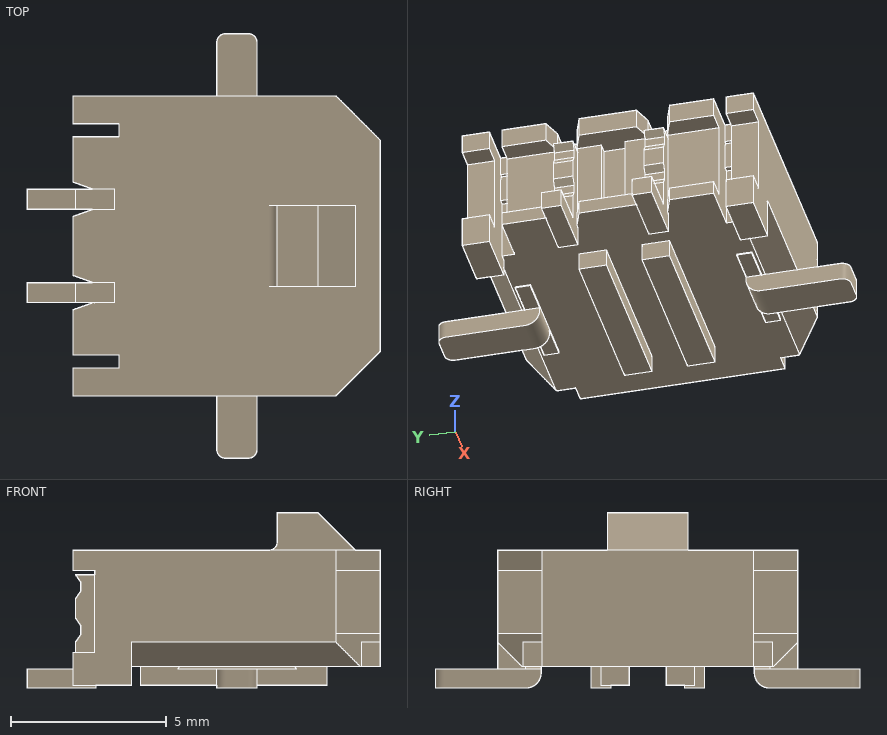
import cadquery as cq

roof_top = 4.44
roof_bottom = 3.78
floor_top = 1.15
floor_bottom = 0.69
foot_bottom = 0.09

body_length = 9.88
body_half_width = 4.825
corner_chamfer = 1.43
wall_face_x = 0.70
foot_length = 1.89

side_slope = 0.79

front_notch_top = roof_bottom
front_notch_bottom = 1.765
lower_notch_x = 9.27

latch_height = 1.20
latch_start_x = 6.56
latch_flat = 1.32
latch_width = 2.60
latch_fillet = 0.25

terminal_pitch = 3.0
terminal_width = 0.65
terminal_tip_x = -1.47
terminal_front_x = 0.08
terminal_back_x = 0.745
terminal_top = 3.65
terminal_thickness = 0.62
barb_depth = 0.17
barb_slope = 0.245
barb_flat = 0.285
barb_pitch = 1.395
barb_count = 2

channel_length = 1.33
channel_mouth_depth = 0.63
channel_mouth_width = 1.10

groove_width = 0.78
groove_depth = 0.36

slot_inner_y = 3.51
slot_outer_y = 3.92
slot_end_x = 1.48
nail_edge_radius = 0.40
nail_edge_centre_z = 3.49
nail_step_z = 2.75
nail_step_depth = 0.20

nail_inner_y = 3.42
nail_outer_y = 6.825
nail_start_x = 4.62
nail_width = 1.30
nail_thickness = 0.62
nail_bend_radius = 0.50
nail_corner_radius = 0.29
nail_root_start_x = 3.42
nail_root_end_x = 7.13
nail_root_flare = 0.05

rail_start_x = 2.17
rail_length = 6.0
rail_inner_y = 0.59
rail_outer_y = terminal_pitch / 2

overlap = 0.3
sides = (-1, 1)


def box(x_range, y_range, z_range):
    """Box spanning the given (start, end) pairs, in either order."""
    ranges = [sorted(pair) for pair in (x_range, y_range, z_range)]
    lengths = [end - start for start, end in ranges]
    corner = tuple(start for start, end in ranges)
    return cq.Workplane("XY").box(*lengths, centered=False).translate(corner)


def side_profile(y_near, y_far):
    """XZ workplane at y_far whose extrusion of the returned length reaches y_near."""
    low, high = sorted((y_near, y_far))
    return cq.Workplane("XZ", origin=(0, high, 0)), high - low


def make_housing():
    front_half_width = body_half_width - corner_chamfer
    body = box((0, body_length), (-body_half_width, body_half_width), (floor_bottom, roof_top))
    body = body.edges("|Z and >X").chamfer(corner_chamfer)

    body = body.cut(box((0, wall_face_x), (-body_half_width, body_half_width), (floor_top, roof_bottom)))

    for side in sides:
        outer_y = side * body_half_width
        slope = (
            cq.Workplane("YZ", origin=(foot_length, 0, 0))
            .moveTo(outer_y, floor_bottom)
            .lineTo(outer_y, floor_bottom + side_slope)
            .lineTo(outer_y - side * side_slope, floor_bottom)
            .close()
            .extrude(body_length - foot_length)
        )
        body = body.cut(slope)

        notch_y = (side * front_half_width, outer_y)
        chamfer_start_x = body_length - corner_chamfer
        body = body.cut(box((chamfer_start_x, body_length), notch_y, (front_notch_bottom, front_notch_top)))
        lower_notch_z = (floor_bottom, floor_bottom + side_slope)
        body = body.cut(box((lower_notch_x, body_length), notch_y, lower_notch_z))

        body = body.union(box((0, foot_length), (side * slot_outer_y, outer_y), (foot_bottom, floor_top)))

    groove_y = (-groove_width / 2, groove_width / 2)
    groove_x = (wall_face_x, wall_face_x + groove_depth)
    return body.cut(box(groove_x, groove_y, (floor_top, roof_bottom)))


def make_rail(side):
    rail_x = (rail_start_x, rail_start_x + rail_length)
    rail_y = (side * rail_inner_y, side * rail_outer_y)
    return box(rail_x, rail_y, (foot_bottom, floor_bottom + overlap))


def make_latch():
    top = roof_top + latch_height
    plane, width = side_profile(-latch_width / 2, latch_width / 2)
    ramp_start_x = latch_start_x + latch_flat
    return (
        plane.moveTo(latch_start_x - latch_fillet, roof_top)
        .radiusArc((latch_start_x, roof_top + latch_fillet), -latch_fillet)
        .lineTo(latch_start_x, top)
        .lineTo(ramp_start_x, top)
        .lineTo(ramp_start_x + latch_height, roof_top)
        .lineTo(ramp_start_x + latch_height, roof_top - overlap)
        .lineTo(latch_start_x - latch_fillet, roof_top - overlap)
        .close()
        .extrude(width)
    )


def make_nail_slot(side):
    """Slot through roof and floor; its end follows the rounded edge of the nail."""
    plane, width = side_profile(side * slot_inner_y, side * slot_outer_y)
    arc_centre_x = slot_end_x + nail_edge_radius
    rise = roof_bottom - nail_edge_centre_z
    arc_end_x = arc_centre_x - (nail_edge_radius**2 - rise**2) ** 0.5
    return (
        plane.moveTo(0, floor_bottom)
        .lineTo(slot_end_x + nail_step_depth, floor_bottom)
        .lineTo(slot_end_x + nail_step_depth, nail_step_z)
        .lineTo(slot_end_x, nail_step_z)
        .lineTo(slot_end_x, nail_edge_centre_z)
        .radiusArc((arc_end_x, roof_bottom), nail_edge_radius)
        .lineTo(slot_end_x, roof_bottom)
        .lineTo(slot_end_x, roof_top)
        .lineTo(0, roof_top)
        .close()
        .extrude(width)
    )


def make_terminal_channel(y):
    """Straight channel with a flared mouth, cut through the roof and the floor lip."""
    half_width = terminal_width / 2
    half_mouth = channel_mouth_width / 2
    mouth = (
        cq.Workplane("XY", origin=(0, y, floor_bottom))
        .moveTo(0, -half_mouth)
        .lineTo(channel_mouth_depth, -half_width)
        .lineTo(channel_mouth_depth, half_width)
        .lineTo(0, half_mouth)
        .close()
        .extrude(roof_top - floor_bottom)
    )
    channel = box((0, channel_length), (y - half_width, y + half_width), (terminal_top, roof_top))
    return mouth.union(channel)


def make_terminal(y):
    """L-shaped terminal with notched front face and a tail lying on the board."""
    half_width = terminal_width / 2
    plane, width = side_profile(y - half_width, y + half_width)
    notch_x = terminal_front_x + barb_depth
    outline = (
        plane.moveTo(terminal_tip_x, 0)
        .lineTo(terminal_back_x, 0)
        .lineTo(terminal_back_x, terminal_top)
        .lineTo(terminal_front_x, terminal_top)
    )
    for index in range(barb_count):
        start_z = terminal_top - index * barb_pitch
        upper_z = start_z - barb_slope
        lower_z = upper_z - barb_flat
        if index > 0:
            outline = outline.lineTo(terminal_front_x, start_z)
        outline = (
            outline.lineTo(notch_x, upper_z)
            .lineTo(notch_x, lower_z)
            .lineTo(terminal_front_x, lower_z - barb_slope)
        )
    return (
        outline.lineTo(terminal_front_x, terminal_thickness)
        .lineTo(terminal_tip_x, terminal_thickness)
        .close()
        .extrude(width)
    )


def make_nail(side):
    """Solder tail reaching out sideways, hung from a root that shows below the floor."""
    nail_x = (nail_start_x, nail_start_x + nail_width)
    tail = box(nail_x, (side * nail_inner_y, side * nail_outer_y), (0, nail_thickness))
    outward = ">Y" if side > 0 else "<Y"
    inward = "<Y" if side > 0 else ">Y"
    tail = tail.edges("|Z").edges(outward).fillet(nail_corner_radius)
    tail = tail.edges("|X").edges(inward).edges("<Z").fillet(nail_bend_radius)

    plane, width = side_profile(side * nail_inner_y, side * slot_outer_y)
    root = (
        plane.moveTo(nail_root_start_x - nail_root_flare, nail_thickness)
        .lineTo(nail_root_end_x + nail_root_flare, nail_thickness)
        .lineTo(nail_root_end_x, floor_bottom)
        .lineTo(nail_root_end_x, floor_bottom + overlap)
        .lineTo(nail_root_start_x, floor_bottom + overlap)
        .lineTo(nail_root_start_x, floor_bottom)
        .close()
        .extrude(width)
    )
    return tail.union(root)


result = make_housing().union(make_latch())
for side in sides:
    terminal_y = side * terminal_pitch / 2
    result = result.cut(make_nail_slot(side))
    result = result.cut(make_terminal_channel(terminal_y))
    result = result.union(make_rail(side))
    result = result.union(make_terminal(terminal_y))
    result = result.union(make_nail(side))